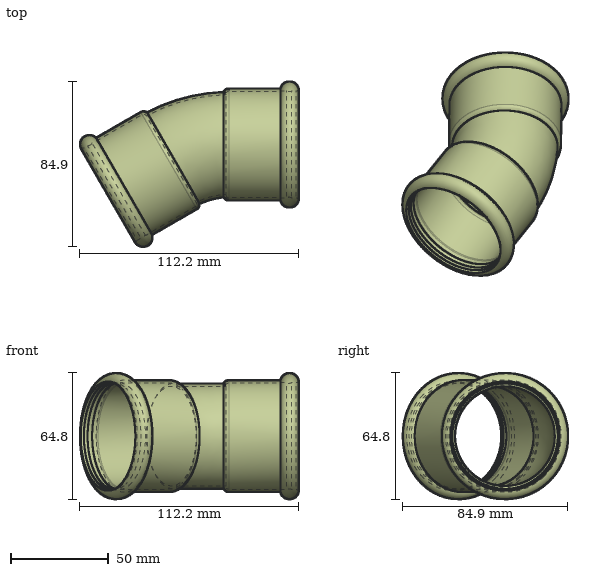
import math

import cadquery as cq

BEND_ANGLE = 30.0
PIPE_RADIUS = 27.0
WALL = 1.5
BEND_RADIUS = 1.2 * 2 * PIPE_RADIUS

SOCKET_RADIUS = 57.5 / 2
BORE_RADIUS = SOCKET_RADIUS - WALL
BEND_START_DEPTH = 35.06
SOCKET_LENGTH = 38.9
SHOULDER_RADIUS = 3.0
BORE_DEPTH = SOCKET_LENGTH - WALL
BORE_END_RADIUS = SHOULDER_RADIUS - WALL

BEAD_OUTER_RADIUS = 32.4
BEAD_WIDTH = 9.7
BEAD_SECTION_RADIUS = BEAD_WIDTH / 2
BEAD_CENTRE_RADIUS = BEAD_OUTER_RADIUS - BEAD_SECTION_RADIUS

SEAT_RADIUS = 54.7 / 2
MOUTH_RADIUS = 28.0
LEAD_IN_DEPTH = 1.5
RIB_START_DEPTH = 3.7
RIB_END_DEPTH = 6.4
RIB_HEIGHT = 0.3
SEAT_DEPTH = 9.1
SEAT_END_DEPTH = 9.8

ORIGIN = (0, 0, 0)
Z_DIRECTION = (0, 0, 1)


def revolve_about_x(profile):
    """Turn a closed profile in the XY plane (X = depth, Y = radius) about the X axis."""
    return profile.close().revolve(360, ORIGIN, (1, 0, 0))


def socket_outside():
    """Filled socket along +X with its mouth at X = 0."""
    barrel = cq.Workplane("YZ").circle(SOCKET_RADIUS).extrude(SOCKET_LENGTH - BEAD_SECTION_RADIUS)
    barrel = barrel.faces(">X").edges().fillet(SHOULDER_RADIUS)
    barrel = barrel.translate((BEAD_SECTION_RADIUS, 0, 0))
    bead = revolve_about_x(
        cq.Workplane("XY")
        .lineTo(0, BEAD_CENTRE_RADIUS)
        .threePointArc((BEAD_SECTION_RADIUS, BEAD_OUTER_RADIUS), (BEAD_WIDTH, BEAD_CENTRE_RADIUS))
        .lineTo(BEAD_WIDTH, 0)
    )
    return barrel.union(bead)


def socket_inside():
    """Space inside a socket, with the lead-in, sealing rib and rounded bore end."""
    rib_middle = (RIB_START_DEPTH + RIB_END_DEPTH) / 2
    bore_end_middle = BORE_END_RADIUS * math.sqrt(0.5)
    bore_end_centre_depth = BORE_DEPTH - BORE_END_RADIUS
    bore_end_centre_radius = BORE_RADIUS - BORE_END_RADIUS
    return revolve_about_x(
        cq.Workplane("XY")
        .lineTo(0, MOUTH_RADIUS)
        .lineTo(LEAD_IN_DEPTH, SEAT_RADIUS)
        .lineTo(RIB_START_DEPTH, SEAT_RADIUS)
        .threePointArc((rib_middle, SEAT_RADIUS - RIB_HEIGHT), (RIB_END_DEPTH, SEAT_RADIUS))
        .lineTo(SEAT_DEPTH, SEAT_RADIUS)
        .lineTo(SEAT_END_DEPTH, BORE_RADIUS)
        .lineTo(bore_end_centre_depth, BORE_RADIUS)
        .threePointArc(
            (bore_end_centre_depth + bore_end_middle, bore_end_centre_radius + bore_end_middle),
            (BORE_DEPTH, bore_end_centre_radius),
        )
        .lineTo(BORE_DEPTH, 0)
    )


def bend(radius):
    """Filled arc of round section; it starts at the origin heading -X and turns toward -Y."""
    return (
        cq.Workplane("YZ")
        .circle(radius)
        .revolve(BEND_ANGLE, (-BEND_RADIUS, 0, 0), (-BEND_RADIUS, 1, 0))
    )


def at_both_ends(socket):
    """Place a socket at the start of the bend and its mirror image at the other end."""
    first = socket.rotate(ORIGIN, Z_DIRECTION, 180).translate((BEND_START_DEPTH, 0, 0))
    bend_centre = (0, -BEND_RADIUS, 0)
    bend_centre_top = (0, -BEND_RADIUS, 1)
    second = first.mirror("YZ").rotate(bend_centre, bend_centre_top, BEND_ANGLE)
    return first.union(second)


outside = at_both_ends(socket_outside()).union(bend(PIPE_RADIUS))
inside = at_both_ends(socket_inside()).union(bend(PIPE_RADIUS - WALL))
result = outside.cut(inside)